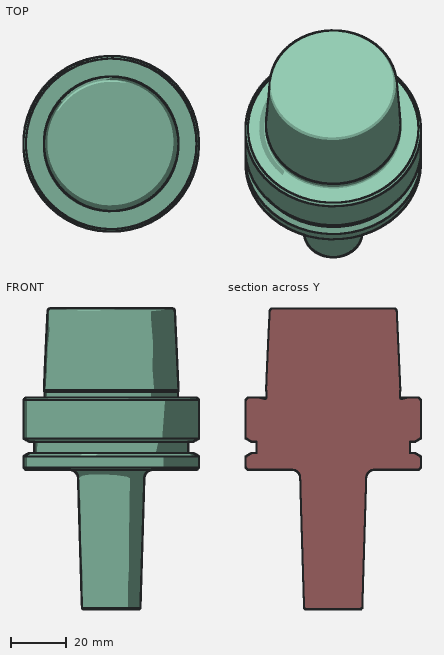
import cadquery as cq
import math

total_height = 107.9
flange_radius = 31.5

shank_tip_diameter = 21.0
shank_top_diameter = 23.8
tip_chamfer = 0.5
shank_fillet = 2.9

flange_bottom = 50.0
flange_top = 76.0
edge_chamfer = 1.0
edge_break_long = 0.3
edge_break_short = 0.2
groove_radius = 27.6
groove_bottom = 56.1
groove_top = 60.0
groove_chamfer_width = 2.2
groove_chamfer_height = 1.3

recess_radius = 26.4
recess_depth = 0.4

neck_radius = 24.0
neck_fillet = 0.6
neck_top = 77.9
taper_bottom = 78.5
taper_bottom_radius = 24.2
taper_top_radius = 22.9
top_fillet = 1.2

shank_tip_radius = shank_tip_diameter / 2
shank_top_radius = shank_top_diameter / 2
shank_top = flange_bottom - shank_fillet
recess_floor = flange_top - recess_depth
fillet_top = total_height - top_fillet
groove_rim_radius = flange_radius - groove_chamfer_width
diagonal = math.sqrt(0.5)

flange_edge = [
    (edge_chamfer, 0),
    (edge_chamfer - edge_break_long, edge_break_short),
    (edge_break_short, edge_chamfer - edge_break_long),
    (0, edge_chamfer),
]


def quarter_arc(profile, center, radius, right, up, end):
    """Add a 90 degree arc whose midpoint lies right (+1/-1) and up (+1/-1) of the center."""
    middle = (center[0] + right * radius * diagonal, center[1] + up * radius * diagonal)
    return profile.threePointArc(middle, end)


profile = (
    cq.Workplane("XZ")
    .lineTo(shank_tip_radius - tip_chamfer, 0)
    .lineTo(shank_tip_radius, tip_chamfer)
    .lineTo(shank_top_radius, shank_top)
)
shank_fillet_edge = shank_top_radius + shank_fillet
profile = quarter_arc(
    profile, (shank_fillet_edge, shank_top), shank_fillet, -1, 1, (shank_fillet_edge, flange_bottom)
)

for inset, depth in flange_edge:
    profile = profile.lineTo(flange_radius - inset, flange_bottom + depth)
profile = (
    profile.lineTo(flange_radius, groove_bottom - groove_chamfer_height)
    .lineTo(groove_rim_radius, groove_bottom)
    .lineTo(groove_radius, groove_bottom)
    .lineTo(groove_radius, groove_top)
    .lineTo(groove_rim_radius, groove_top)
    .lineTo(flange_radius, groove_top + groove_chamfer_height)
)
for inset, depth in reversed(flange_edge):
    profile = profile.lineTo(flange_radius - inset, flange_top - depth)

neck_fillet_center = (neck_radius + neck_fillet, recess_floor + neck_fillet)
profile = profile.lineTo(recess_radius, flange_top).lineTo(neck_fillet_center[0], recess_floor)
profile = quarter_arc(
    profile, neck_fillet_center, neck_fillet, -1, -1, (neck_radius, neck_fillet_center[1])
)
profile = (
    profile.lineTo(neck_radius, neck_top)
    .lineTo(taper_bottom_radius, taper_bottom)
    .lineTo(taper_top_radius, fillet_top)
)
top_face_radius = taper_top_radius - top_fillet
profile = quarter_arc(
    profile, (top_face_radius, fillet_top), top_fillet, 1, 1, (top_face_radius, total_height)
)

result = profile.lineTo(0, total_height).close().revolve(360, (0, 0, 0), (0, 1, 0))